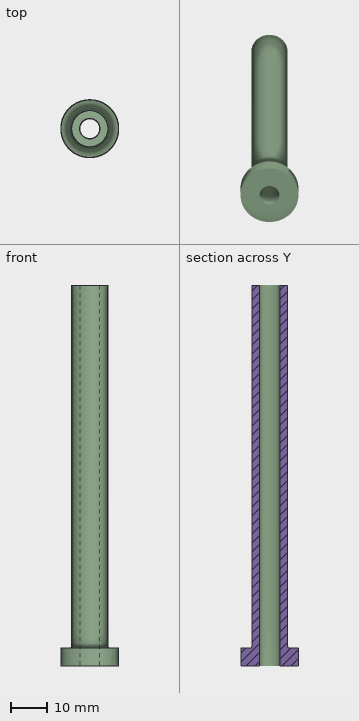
import cadquery as cq

total_length = 105.0
head_diameter = 16.0
head_thickness = 5.0
shaft_diameter = 10.0
bore_diameter = 5.5
root_fillet_radius = 0.5


def make_sleeve_profile():
    """Half section in the XZ plane, on the -X side of the axis."""
    head_radius = head_diameter / 2
    shaft_radius = shaft_diameter / 2
    bore_radius = bore_diameter / 2
    fillet_top = head_thickness + root_fillet_radius
    fillet_outer_radius = shaft_radius + root_fillet_radius
    return (
        cq.Workplane("XZ")
        .moveTo(-bore_radius, 0)
        .lineTo(-head_radius, 0)
        .lineTo(-head_radius, head_thickness)
        .lineTo(-fillet_outer_radius, head_thickness)
        .radiusArc((-shaft_radius, fillet_top), -root_fillet_radius)
        .lineTo(-shaft_radius, total_length)
        .lineTo(-bore_radius, total_length)
        .close()
    )


result = make_sleeve_profile().revolve(360, (0, 0, 0), (0, 1, 0))